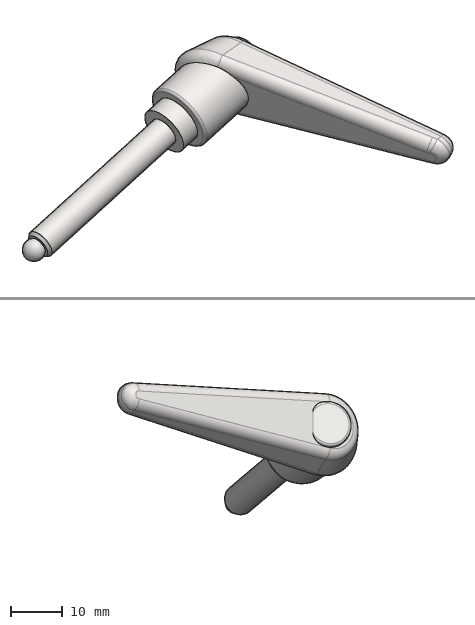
import cadquery as cq
import math


draft_angle = 15.0
head_radius = 11.4
tip_radius = 10.6
tip_center_x = 41.9
draft_height = 33.75
upper_height = 19.6
upper_slope = math.tan(math.radians(15.0))
lower_height = 10.0
lower_slope = math.tan(math.radians(20.2))
arm_fillet = 2.0

hub_radius = 7.0
hub_height = 14.25
hub_fillet = 0.5
boss_radius = 4.5
boss_top = 20.5
boss_fillet = 0.5

collar_radius = 5.0
collar_length = 4.05
stud_radius = 3.0
stud_end = -40.6
stud_chamfer_radial = 0.5
stud_chamfer_length = 0.7
nose_radius = 2.25
nose_tip = -44.0
nose_center = nose_tip + nose_radius


def cylinder(radius, bottom, top):
    """Cylinder on the clamping axis between two Y heights."""
    plane = cq.Workplane("XZ", origin=(0, bottom, 0))
    return plane.circle(radius).extrude(bottom - top)


def make_arm():
    sine = (head_radius - tip_radius) / tip_center_x
    cosine = math.sqrt(1 - sine**2)
    head_x, head_z = head_radius * sine, head_radius * cosine
    tip_x, tip_z = tip_center_x + tip_radius * sine, tip_radius * cosine
    upward = cq.Plane(origin=(0, 0, 0), xDir=(1, 0, 0), normal=(0, 1, 0))
    drafted_bar = (
        cq.Workplane(upward)
        .moveTo(head_x, head_z)
        .lineTo(tip_x, tip_z)
        .threePointArc((tip_center_x + tip_radius, 0), (tip_x, -tip_z))
        .lineTo(head_x, -head_z)
        .threePointArc((-head_radius, 0), (head_x, head_z))
        .close()
        .extrude(draft_height, taper=draft_angle)
    )

    start_x = -2 * head_radius
    end_x = tip_center_x + 2 * tip_radius
    profile = (
        cq.Workplane("XY")
        .polyline([
            (start_x, lower_height + lower_slope * start_x),
            (end_x, lower_height + lower_slope * end_x),
            (end_x, upper_height + upper_slope * end_x),
            (start_x, upper_height + upper_slope * start_x),
        ])
        .close()
        .extrude(2 * head_radius, both=True)
    )
    arm = drafted_bar.intersect(profile)
    return arm.faces("<Y or >Y").edges().fillet(arm_fillet)


def make_lever():
    hub = cylinder(hub_radius, 0, hub_height).faces("<Y").edges().fillet(hub_fillet)
    boss = cylinder(boss_radius, 0, boss_top).faces(">Y").edges().fillet(boss_fillet)
    return make_arm().union(hub).union(boss)


def make_stud():
    end_radius = stud_radius - stud_chamfer_radial
    neck_radius = math.sqrt(nose_radius**2 - (stud_end - nose_center)**2)
    return (
        cq.Workplane("XY")
        .moveTo(0, 0)
        .lineTo(collar_radius, 0)
        .lineTo(collar_radius, -collar_length)
        .lineTo(stud_radius, -collar_length)
        .lineTo(stud_radius, stud_end + stud_chamfer_length)
        .lineTo(end_radius, stud_end)
        .lineTo(neck_radius, stud_end)
        .threePointArc((nose_radius, nose_center), (0, nose_tip))
        .close()
        .revolve(360, (0, 0, 0), (0, 1, 0))
    )


lever = make_lever()
stud = make_stud()
result = cq.Compound.makeCompound([lever.solids().val(), stud.val()])